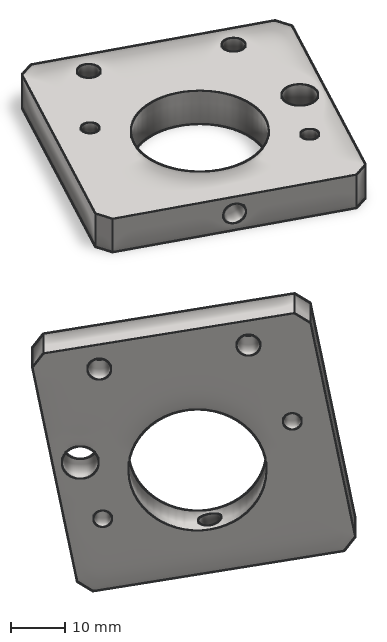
import cadquery as cq

width = 50.8
depth = 52.05
thickness = 7.6
corner_chamfer = 2.55

bore_diameter = 25.4
bore_x = 3.8
small_hole_diameter = 3.45
small_hole_offset_x = 6.9
small_hole_offset_y = 19.0

side_hole_diameter = 4.35
side_hole_x = -20.3
side_hole_spacing = 27.9

large_hole_diameter = 6.75
large_hole_x = -1.6
large_hole_y = 20.95

cross_hole_diameter = 4.35


def through_holes(diameter, centres):
    """Cylinders that cut vertically through the whole plate."""
    return (
        cq.Workplane("XY", origin=(0, 0, -thickness / 2))
        .pushPoints(centres)
        .circle(diameter / 2)
        .extrude(thickness)
    )


plate = cq.Workplane("XY").box(width, depth, thickness).edges("|Z").chamfer(corner_chamfer)

small_hole_centres = [
    (bore_x + side * small_hole_offset_x, side * small_hole_offset_y) for side in (-1, 1)
]
side_hole_centres = [(side_hole_x, side * side_hole_spacing / 2) for side in (-1, 1)]

cross_hole = (
    cq.Workplane("YZ", origin=(bore_x, 0, 0))
    .circle(cross_hole_diameter / 2)
    .extrude(width / 2 - bore_x)
)

result = (
    plate.cut(through_holes(bore_diameter, [(bore_x, 0)]))
    .cut(through_holes(small_hole_diameter, small_hole_centres))
    .cut(through_holes(side_hole_diameter, side_hole_centres))
    .cut(through_holes(large_hole_diameter, [(large_hole_x, large_hole_y)]))
    .cut(cross_hole)
)